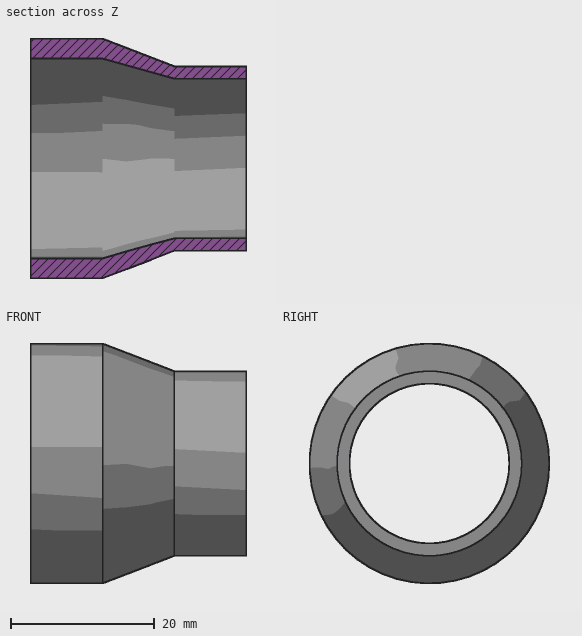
import cadquery as cq

large_outer_diameter = 33.4
large_bore_diameter = 27.8
small_outer_diameter = 25.7
small_bore_diameter = 22.2
section_length = 10.0

taper_start = section_length
taper_end = 2 * section_length
total_length = 3 * section_length


def revolved_reducer(large_diameter, small_diameter):
    """Solid of revolution about X: large cylinder, cone, small cylinder."""
    large_radius = large_diameter / 2
    small_radius = small_diameter / 2
    return (
        cq.Workplane("XY")
        .moveTo(0, 0)
        .lineTo(0, large_radius)
        .lineTo(taper_start, large_radius)
        .lineTo(taper_end, small_radius)
        .lineTo(total_length, small_radius)
        .lineTo(total_length, 0)
        .close()
        .revolve(360, (0, 0, 0), (1, 0, 0))
    )


outer_body = revolved_reducer(large_outer_diameter, small_outer_diameter)
bore = revolved_reducer(large_bore_diameter, small_bore_diameter)

result = outer_body.cut(bore)